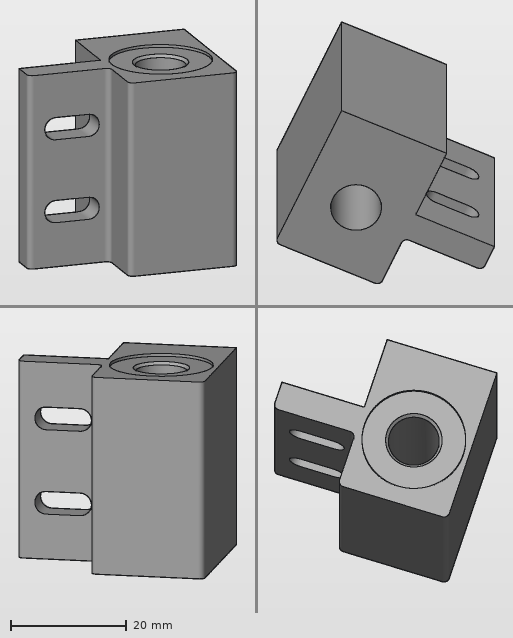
import cadquery as cq

block_width = 28.0
block_depth = 20.0
height = 35.0
bore_to_left_side = 16.0
left_x = -bore_to_left_side
right_x = left_x + block_width
back_y = block_depth / 2
front_y = -block_depth / 2

flange_thickness = 5.0
flange_length = 15.0
flange_offset = 13.0
flange_left_x = left_x + flange_offset
flange_right_x = flange_left_x + flange_thickness
flange_center_x = flange_left_x + flange_thickness / 2
flange_end_y = front_y - flange_length

corner_radius = 1.0
edge_search_reach = 0.1

bore_diameter = 8.8
bore_chamfer = 0.5
recess_diameter = 18.0
recess_depth = 0.5

slot_length = 10.0
slot_width = 4.0
slot_offset = 7.0
slot_center_y = front_y - slot_offset
slot_heights = (10.0, 25.0)


def make_box(x_start, x_end, y_start, y_end):
    """Full-height box between two X and two Y positions."""
    return cq.Workplane("XY").box(
        x_end - x_start, y_end - y_start, height, centered=False
    ).translate((x_start, y_start, 0))


def vertical_edge_at(x, y):
    """Selector for the vertical edge that passes through (x, y)."""
    reach = edge_search_reach
    return cq.selectors.BoxSelector(
        (x - reach, y - reach, 0), (x + reach, y + reach, height)
    )


def make_body():
    """Block and flange, with rounded corners on the right-hand side."""
    block = make_box(left_x, right_x, front_y, back_y)
    flange = make_box(flange_left_x, flange_right_x, flange_end_y, front_y)
    body = block.union(flange)
    rounded_corners = (
        (right_x, back_y),
        (right_x, front_y),
        (flange_right_x, front_y),
        (flange_right_x, flange_end_y),
    )
    for x, y in rounded_corners:
        body = body.edges(vertical_edge_at(x, y)).fillet(corner_radius)
    return body


def cut_bore(body):
    """Recess in the top face and a through bore chamfered at the recess floor."""
    recess_floor = height - recess_depth
    recess = (
        cq.Workplane("XY", origin=(0, 0, recess_floor))
        .circle(recess_diameter / 2)
        .extrude(recess_depth)
    )
    bore = cq.Workplane("XY").circle(bore_diameter / 2).extrude(recess_floor)
    mouth = (
        cq.Workplane("XY", origin=(0, 0, recess_floor))
        .circle(bore_diameter / 2 + bore_chamfer)
        .workplane(offset=-bore_chamfer)
        .circle(bore_diameter / 2)
        .loft(ruled=True)
    )
    return body.cut(recess).cut(bore).cut(mouth)


def cut_slots(body):
    """Two round-ended slots through the flange, long in Y."""
    for slot_z in slot_heights:
        slot = (
            cq.Workplane("YZ", origin=(flange_center_x, slot_center_y, slot_z))
            .slot2D(slot_length, slot_width)
            .extrude(flange_thickness, both=True)
        )
        body = body.cut(slot)
    return body


result = cut_slots(cut_bore(make_body()))